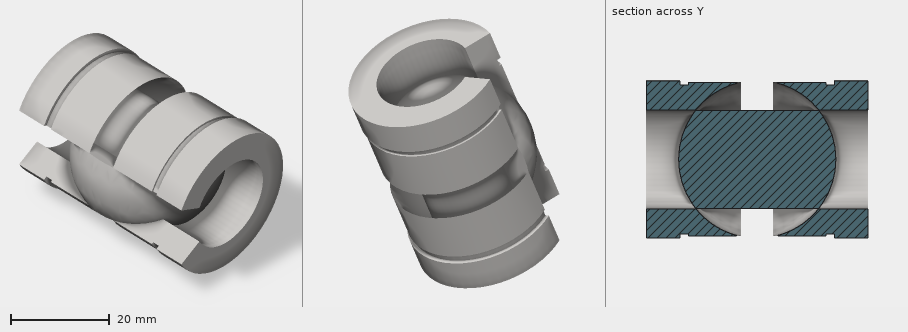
import cadquery as cq
import math

length = 45.0
outer_radius = 32.0 / 2
bore_radius = 10.0
groove_radius = 15.15
collar_length = 6.95
groove_width = 1.58
gap_width = 6.55
slot_half_angle = 27.0

ball_radius = outer_radius
cavity_radius = 15.98


def circle_leg(hypotenuse, leg):
    """Other coordinate of the point on a circle about the origin."""
    return math.sqrt(hypotenuse**2 - leg**2)


gap_end = gap_width / 2
body_radius = circle_leg(cavity_radius, gap_end)


def revolve_about_x(profile, center_angle, half_angle):
    """Sweep a profile about X, half_angle to each side of center_angle (measured from +Y)."""
    swept = profile.close().revolve(2 * half_angle, (0, 0, 0), (1, 0, 0))
    return swept.rotate((0, 0, 0), (1, 0, 0), center_angle - half_angle)


def sleeve_half():
    """Stepped +X half of the sleeve, open along the slot and hollowed by the cavity."""
    end = length / 2
    collar_start = end - collar_length
    groove_start = collar_start - groove_width
    cavity_mouth = circle_leg(cavity_radius, bore_radius)
    arc_middle_x = (gap_end + cavity_mouth) / 2
    arc_middle = (arc_middle_x, circle_leg(cavity_radius, arc_middle_x))
    profile = (
        cq.Workplane("XY")
        .moveTo(cavity_mouth, bore_radius)
        .threePointArc(arc_middle, (gap_end, body_radius))
        .lineTo(groove_start, body_radius)
        .lineTo(groove_start, groove_radius)
        .lineTo(collar_start, groove_radius)
        .lineTo(collar_start, outer_radius)
        .lineTo(end, outer_radius)
        .lineTo(end, bore_radius)
    )
    return revolve_about_x(profile, 0, 180 - slot_half_angle)


def ball_core():
    """Part of the ball inside the bore: a cylinder with spherical ends."""
    shoulder = circle_leg(ball_radius, bore_radius)
    cap_middle_radius = bore_radius / 2
    cap_middle_x = circle_leg(ball_radius, cap_middle_radius)
    profile = (
        cq.Workplane("XY")
        .moveTo(-ball_radius, 0)
        .threePointArc((-cap_middle_x, cap_middle_radius), (-shoulder, bore_radius))
        .lineTo(shoulder, bore_radius)
        .threePointArc((cap_middle_x, cap_middle_radius), (ball_radius, 0))
    )
    return revolve_about_x(profile, 0, 180)


def ball_wedge():
    """Part of the ball that fills the slot."""
    profile = (
        cq.Workplane("XY")
        .moveTo(-ball_radius, 0)
        .threePointArc((0, ball_radius), (ball_radius, 0))
    )
    return revolve_about_x(profile, 180, slot_half_angle)


right_half = sleeve_half()
left_half = right_half.mirror("YZ")
result = ball_core().union(ball_wedge()).union(right_half).union(left_half)